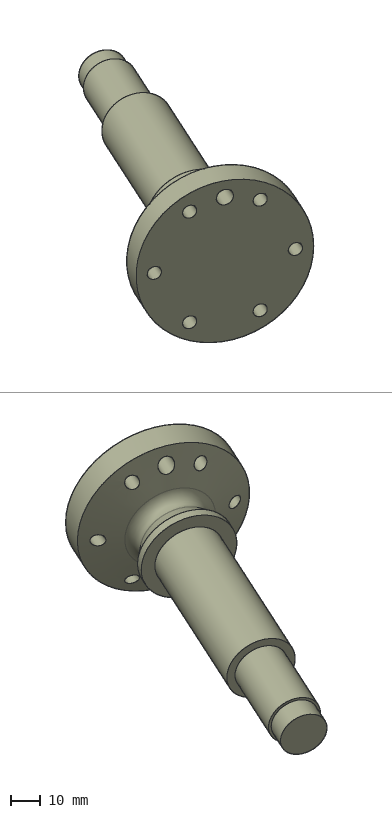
import cadquery as cq
import math

length = 131.0
flange_diameter = 63.0
flange_thickness = 10.2

tip_diameter = 17.0
tip_end = 8.0
journal_diameter = 19.0
journal_end = 36.8
body_diameter = 25.0
collar_start = 98.8
collar_diameter = 35.0

neck_x = 110.4
neck_radius = 13.4
neck_fillet = 5.0
collar_cone_angle = math.radians(30)

hole_circle_radius = 25.0
bolt_hole_diameter = 5.0
bolt_hole_count = 6
locating_hole_diameter = 6.0
locating_hole_angle = 90

flange_radius = flange_diameter / 2
collar_radius = collar_diameter / 2
flange_start = length - flange_thickness
arc_center_radius = neck_radius + neck_fillet

rim_dx = flange_start - neck_x
rim_dr = flange_radius - arc_center_radius
flange_cone_angle = math.atan2(rim_dr, rim_dx) + math.asin(neck_fillet / math.hypot(rim_dx, rim_dr))


def neck_point(slope_angle):
    """Point (x, radius) on the neck arc where its tangent has this slope."""
    return (
        neck_x + neck_fillet * math.sin(slope_angle),
        arc_center_radius - neck_fillet * math.cos(slope_angle),
    )


def make_body():
    """Revolve the half outline of shaft, collar, neck and flange about X."""
    arc_start = neck_point(-collar_cone_angle)
    arc_end = neck_point(flange_cone_angle)
    collar_end = arc_start[0] - (collar_radius - arc_start[1]) / math.tan(collar_cone_angle)
    outline = (
        cq.Workplane("XY")
        .moveTo(0, 0)
        .lineTo(0, tip_diameter / 2)
        .lineTo(tip_end, tip_diameter / 2)
        .lineTo(tip_end, journal_diameter / 2)
        .lineTo(journal_end, journal_diameter / 2)
        .lineTo(journal_end, body_diameter / 2)
        .lineTo(collar_start, body_diameter / 2)
        .lineTo(collar_start, collar_radius)
        .lineTo(collar_end, collar_radius)
        .lineTo(*arc_start)
        .threePointArc((neck_x, neck_radius), arc_end)
        .lineTo(flange_start, flange_radius)
        .lineTo(length, flange_radius)
        .lineTo(length, 0)
        .close()
    )
    return outline.revolve(360, (0, 0, 0), (1, 0, 0))


def flange_hole(diameter, angle):
    """Cutter along X through the flange; angle is measured from +Y towards +Z."""
    y = hole_circle_radius * math.cos(math.radians(angle))
    z = hole_circle_radius * math.sin(math.radians(angle))
    return (
        cq.Workplane("YZ", origin=(collar_start, 0, 0))
        .center(y, z)
        .circle(diameter / 2)
        .extrude(length - collar_start)
    )


result = make_body()
for index in range(bolt_hole_count):
    result = result.cut(flange_hole(bolt_hole_diameter, index * 360 / bolt_hole_count))
result = result.cut(flange_hole(locating_hole_diameter, locating_hole_angle))